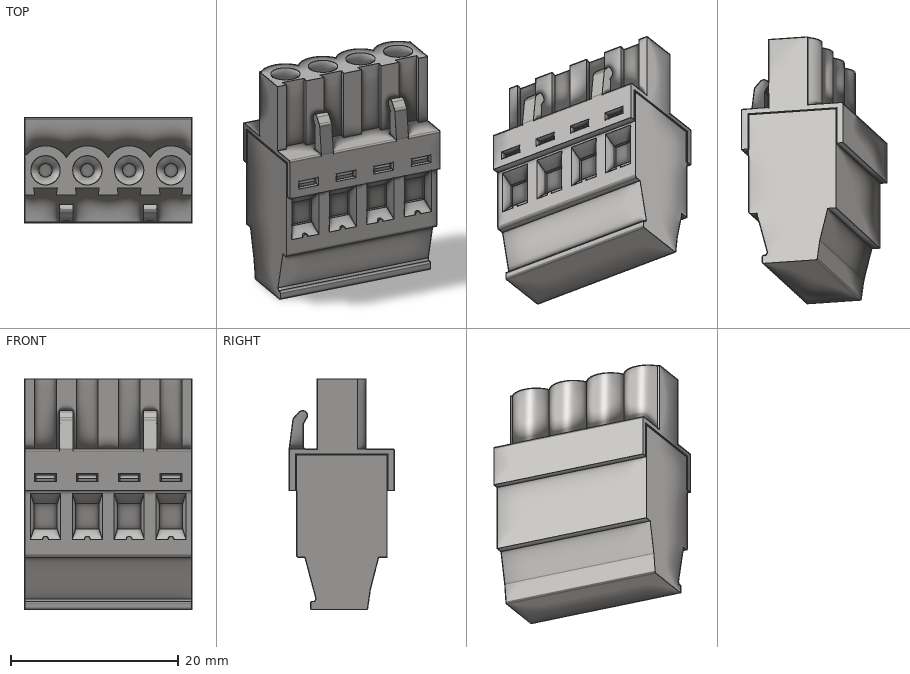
import cadquery as cq
import math


POLES = 4
PITCH = 5.0
LENGTH = POLES * PITCH
DEPTH = 12.59
HEIGHT = 27.6
FRONT = -DEPTH / 2
POLE_CENTERS = [(i - (POLES - 1) / 2) * PITCH for i in range(POLES)]

BODY_FRONT = -5.4
BODY_BACK = 5.42
BODY_BOTTOM = 6.25
BODY_CORNER_RADIUS = 0.3
SHELF_TOP = 19.2
SHELF_THICKNESS = 0.5
SHELF_EDGE_RADIUS = 0.2
COLLAR_BOTTOM = 14.25

TAIL_TOP_FRONT = -4.4
TAIL_TOP_BACK = 4.4
TAIL_KNEE_BACK = 3.42
TAIL_KNEE_Z = 2.4
TAIL_BOTTOM_BACK = 3.08
NOTCH_Y = -3.08
NOTCH_Z = 1.3
FOOT_FRONT = -3.72
FOOT_ROOT_Y = -3.28
FOOT_HEIGHT = 1.0
FOOT_EDGE_RADIUS = 0.2

GROOVE_WIDTH = 0.1
GROOVE_DEPTH = 0.1
GROOVE_TOP = 18.6

PLUG_FRONT = -2.94
PLUG_RADIUS = 2.93
PLUG_VALLEY_Y = math.sqrt(PLUG_RADIUS**2 - (PITCH / 2) ** 2)
PLUG_END_WIDTH = 0.3
PLUG_END_BACK = 1.9
KEYWAY_MOUTH = 2.6
KEYWAY_FLOOR = 2.83
KEYWAY_DEPTH = 0.8
FUNNEL_TOP_DIA = 3.5
FUNNEL_BOTTOM_DIA = 1.59
FUNNEL_ANGLE = 60.0

LATCH_CENTERS = [-PITCH, PITCH]
LATCH_WIDTH = 1.6
LATCH_INNER_Y = -4.58
LATCH_NECK_Z = 22.25
LATCH_TIP_Y = -4.67
LATCH_TIP_Z = 23.22
LATCH_TIP_RADIUS = 0.58
LATCH_SHOULDER_Y = -5.82
LATCH_SHOULDER_Z = 22.85
LATCH_SHOULDER_RADIUS = 0.6
LATCH_ROOT_RADIUS = 0.3

WIRE_MOUTH = (3.6, 5.5)
WIRE_THROAT = (2.8, 3.05)
WIRE_Z = 11.17
WIRE_TAPER_DEPTH = 1.15
WIRE_THROAT_DEPTH = 0.4
MARK_RADIUS = 0.35
MARK_LENGTH = 0.6

WINDOW_WIDTH = 2.6
WINDOW_BOTTOM = 15.3
WINDOW_TOP = 16.3
WINDOW_DEPTH = 0.85
WEDGE_WIDTH = 2.25
WEDGE_FRONT_DEPTH = 0.5
WEDGE_FRONT_TOP = 15.7
WEDGE_BACK_TOP = 16.1


def box(x_range, y_range, z_range):
    """Block given by its lower and upper limit along each axis."""
    size = [high - low for low, high in (x_range, y_range, z_range)]
    corner = (x_range[0], y_range[0], z_range[0])
    return cq.Workplane("XY").box(*size, centered=False).translate(corner)


def side_profile(x_center):
    """Sketch plane for a (Y, Z) profile that is extruded both ways along X."""
    return cq.Workplane("YZ", origin=(x_center, 0, 0))


def round_edge(solid, radius, y, z, x=0):
    """Round the edge whose middle lies nearest to the given place."""
    return solid.edges(cq.selectors.NearestToPointSelector((x, y, z))).fillet(radius)


def make_body():
    full_x = (-LENGTH / 2, LENGTH / 2)
    shelf_bottom = SHELF_TOP - SHELF_THICKNESS
    outline = [
        (BODY_BACK, shelf_bottom),
        (BODY_BACK, BODY_BOTTOM),
        (TAIL_TOP_BACK, BODY_BOTTOM),
        (TAIL_KNEE_BACK, TAIL_KNEE_Z),
        (TAIL_BOTTOM_BACK, 0),
        (FOOT_FRONT, 0),
        (FOOT_FRONT, FOOT_HEIGHT),
        (FOOT_ROOT_Y, FOOT_HEIGHT),
        (NOTCH_Y, NOTCH_Z),
        (TAIL_TOP_FRONT, BODY_BOTTOM),
        (BODY_FRONT, BODY_BOTTOM),
        (BODY_FRONT, shelf_bottom),
    ]
    body = side_profile(0).polyline(outline).close().extrude(LENGTH / 2, both=True)
    body = round_edge(body, BODY_CORNER_RADIUS, BODY_FRONT, BODY_BOTTOM)
    body = round_edge(body, FOOT_EDGE_RADIUS, FOOT_FRONT, 0)
    body = round_edge(body, FOOT_EDGE_RADIUS, FOOT_FRONT, FOOT_HEIGHT)
    body = round_edge(body, FOOT_EDGE_RADIUS, TAIL_BOTTOM_BACK, 0)

    collar = box(full_x, (FRONT, -FRONT), (COLLAR_BOTTOM, SHELF_TOP))
    for y in (FRONT, -FRONT):
        collar = round_edge(collar, SHELF_EDGE_RADIUS, y, SHELF_TOP)
    return body.union(collar)


def make_end_groove(x_range):
    groove_y = (BODY_FRONT - GROOVE_WIDTH, BODY_BACK + GROOVE_WIDTH)
    outside = box(x_range, groove_y, (COLLAR_BOTTOM, GROOVE_TOP))
    inside = box(x_range, (BODY_FRONT, BODY_BACK), (COLLAR_BOTTOM, GROOVE_TOP - GROOVE_WIDTH))
    return outside.cut(inside)


def make_plug():
    half = LENGTH / 2
    z_range = (SHELF_TOP, HEIGHT)
    plug = box((-half, half), (PLUG_FRONT, PLUG_VALLEY_Y), z_range)
    for end in ((-half, -half + PLUG_END_WIDTH), (half - PLUG_END_WIDTH, half)):
        plug = plug.union(box(end, (PLUG_FRONT, PLUG_END_BACK), z_range))
    for x in POLE_CENTERS:
        plug = plug.union(make_barrel(x)).cut(make_keyway(x)).cut(make_funnel(x))
    return plug


def make_barrel(x):
    """Round back of one pole, trimmed to the width of the pole."""
    barrel = cq.Workplane("XY", origin=(x, 0, SHELF_TOP)).circle(PLUG_RADIUS).extrude(HEIGHT - SHELF_TOP)
    cell = box((x - PITCH / 2, x + PITCH / 2), (0, PLUG_RADIUS), (SHELF_TOP, HEIGHT))
    return barrel.intersect(cell)


def make_keyway(x):
    """Dovetail slot, wider at its floor than at its mouth."""
    floor_y = PLUG_FRONT + KEYWAY_DEPTH
    outline = [
        (x - KEYWAY_MOUTH / 2, PLUG_FRONT),
        (x + KEYWAY_MOUTH / 2, PLUG_FRONT),
        (x + KEYWAY_FLOOR / 2, floor_y),
        (x - KEYWAY_FLOOR / 2, floor_y),
    ]
    base = cq.Workplane("XY", origin=(0, 0, SHELF_TOP))
    return base.polyline(outline).close().extrude(HEIGHT - SHELF_TOP)


def make_funnel(x):
    """Conical recess with a flat bottom."""
    top_radius = FUNNEL_TOP_DIA / 2
    bottom_radius = FUNNEL_BOTTOM_DIA / 2
    depth = (top_radius - bottom_radius) / math.tan(math.radians(FUNNEL_ANGLE / 2))
    cone = cq.Solid.makeCone(bottom_radius, top_radius, depth, cq.Vector(x, 0, HEIGHT - depth))
    return cq.Workplane(obj=cone)


def make_latch(x):
    """Upright finger with a round tip leaning towards the plug."""
    root_z = SHELF_TOP - SHELF_THICKNESS
    outline = [
        (FRONT, root_z),
        (FRONT, SHELF_TOP),
        (LATCH_SHOULDER_Y, LATCH_SHOULDER_Z),
    ]
    slant = LATCH_TIP_RADIUS * math.sqrt(0.5)
    tip_outer = (LATCH_TIP_Y - slant, LATCH_TIP_Z + slant)
    tip_top = (LATCH_TIP_Y + slant, LATCH_TIP_Z + slant)
    tip_inner = (LATCH_TIP_Y + slant, LATCH_TIP_Z - slant)
    latch = (
        side_profile(x)
        .polyline(outline)
        .lineTo(*tip_outer)
        .threePointArc(tip_top, tip_inner)
        .lineTo(LATCH_INNER_Y, LATCH_NECK_Z)
        .lineTo(LATCH_INNER_Y, root_z)
        .close()
        .extrude(LATCH_WIDTH / 2, both=True)
    )
    latch = round_edge(latch, LATCH_SHOULDER_RADIUS, LATCH_SHOULDER_Y, LATCH_SHOULDER_Z, x)
    return latch.union(make_latch_root(x))


def make_latch_root(x):
    """Concave rounding between the finger and the shelf."""
    edge_y = LATCH_INNER_Y + LATCH_ROOT_RADIUS
    edge_z = SHELF_TOP + LATCH_ROOT_RADIUS
    inset = LATCH_ROOT_RADIUS * (1 - math.sqrt(0.5))
    return (
        side_profile(x)
        .moveTo(LATCH_INNER_Y, SHELF_TOP)
        .lineTo(edge_y, SHELF_TOP)
        .threePointArc((LATCH_INNER_Y + inset, SHELF_TOP + inset), (LATCH_INNER_Y, edge_z))
        .close()
        .extrude(LATCH_WIDTH / 2, both=True)
    )


def make_wire_entry(x):
    """Tapered mouth, straight throat, and a small round mark left at the lower rim."""
    front = cq.Workplane("XZ", origin=(x, BODY_FRONT, WIRE_Z))
    taper = (
        front.rect(*WIRE_MOUTH)
        .workplane(offset=-WIRE_TAPER_DEPTH)
        .rect(*WIRE_THROAT)
        .loft(ruled=True)
    )
    throat = front.rect(*WIRE_THROAT).extrude(-WIRE_TAPER_DEPTH - WIRE_THROAT_DEPTH)
    mark = front.center(0, -WIRE_MOUTH[1] / 2).circle(MARK_RADIUS).extrude(-MARK_LENGTH)
    return taper.union(throat).cut(mark)


def make_window(x):
    """Shallow rectangular pocket around a wedge with a sloping top."""
    floor_y = FRONT + WINDOW_DEPTH
    half = WINDOW_WIDTH / 2
    pocket = box((x - half, x + half), (FRONT, floor_y), (WINDOW_BOTTOM, WINDOW_TOP))
    wedge_outline = [
        (FRONT + WEDGE_FRONT_DEPTH, WINDOW_BOTTOM),
        (FRONT + WEDGE_FRONT_DEPTH, WEDGE_FRONT_TOP),
        (floor_y, WEDGE_BACK_TOP),
        (floor_y, WINDOW_BOTTOM),
    ]
    wedge = side_profile(x).polyline(wedge_outline).close().extrude(WEDGE_WIDTH / 2, both=True)
    return pocket.cut(wedge)


result = make_body().union(make_plug())
for latch_x in LATCH_CENTERS:
    result = result.union(make_latch(latch_x))
for pole_x in POLE_CENTERS:
    result = result.cut(make_wire_entry(pole_x)).cut(make_window(pole_x))
result = result.cut(make_end_groove((-LENGTH / 2, -LENGTH / 2 + GROOVE_DEPTH)))
result = result.cut(make_end_groove((LENGTH / 2 - GROOVE_DEPTH, LENGTH / 2)))